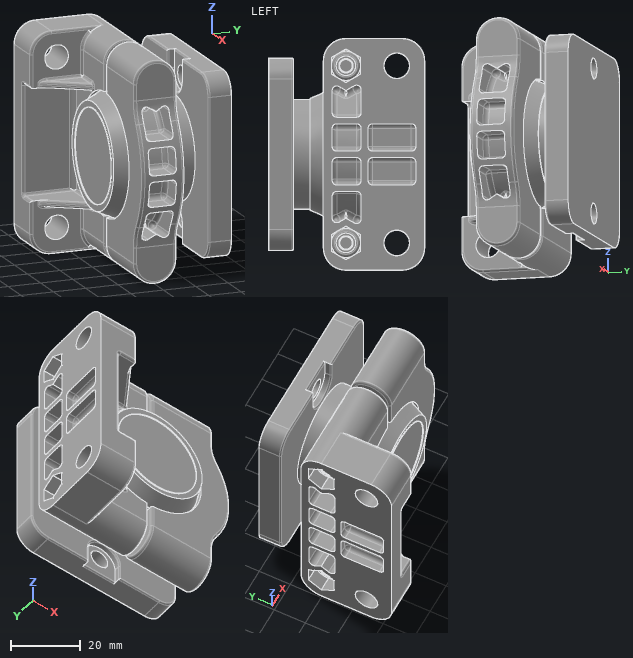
import cadquery as cq
import math


TOLERANCE = 0.005
OVERLAP = 0.65

CLAMP_HEIGHT = 66.55
CLAMP_THICKNESS = 13.05
HALF_THICKNESS = CLAMP_THICKNESS / 2
BORE_RADIUS = 18.65
EDGE_ROUND = 0.7
WALL = 2.0

MOUNT_FACE_X = -30.0
MOUNT_END_X = -0.8
MOUNT_END_ROUND = 0.3
FOOT_WIDTH = 12.85
FOOT_EDGE_X = MOUNT_FACE_X + FOOT_WIDTH
FOOT_FRONT_Y = -22.6
MOUNT_HOLE_Y = -14.6
MOUNT_HOLE_DIAMETER = 7.25

RELIEF_HALF_HEIGHT = 16.8
RELIEF_DEPTH = 6.25
RELIEF_WALL_X = FOOT_EDGE_X - RELIEF_DEPTH
RELIEF_COVE = 1.5
GUSSET_LENGTH = 8.7
GUSSET_TIP_Y = -20.15
COVE_SWEEP = 50

CAP_START_X = 0.7
CAP_END_X = 22.7
LOBE_RADIUS = 29.0
LOBE_BLEND_RADIUS = 12.3

BOLT_Z = 25.4
SLEEVE_RADIUS = 3.8
NUT_ACROSS_FLATS = 8.3
NUT_CORNER_RADIUS = NUT_ACROSS_FLATS / math.sqrt(3)
NUT_FLAT_ANGLE = 30
NUT_DEPTH = 4.7
NUT_DOME_HEIGHT = 0.9
NUT_COLLAR_RADIUS = 3.25
NUT_INSERT_RADIUS = 2.8
NUT_INSERT_DEPTH = 0.2
BOLT_END_RADIUS = 2.05
BOLT_END_HEIGHT = 0.3
BOLT_END_CHAMFER = 0.25

POCKET_CORNER = 1.3
POCKET_Y = -0.2
POCKET_WIDTH = 8.3
POCKET_HEIGHT = 7.85
MIDDLE_WEB = 1.85
POCKET_FLOOR_WALL = 3.0
POCKET_FLOOR_RADIUS = BORE_RADIUS + POCKET_FLOOR_WALL
FOOT_POCKET_LENGTH = 13.7
FOOT_POCKET_DEPTH = 3.65

PLATE_WIDTH = 52.2
PLATE_HEIGHT = 55.25
PLATE_FRONT_Y = 15.05
PLATE_THICKNESS = 7.1
PLATE_CORNER = 6.0
PLATE_EDGE_ROUND = 0.45
RIM_RADIUS = 18.45
STEM_RADIUS = 15.8
CONE_RADIUS = 16.1
CONE_FACE_RADIUS = 17.85
CONE_HEIGHT = 3.7
RECESS_RADIUS = 14.1
RECESS_DEPTH = 0.25
NOTCH_HALF_WIDTH = 5.6
NOTCH_DEPTH = 2.1
NOTCH_ARC_Z = 22.1
PLATE_HOLE_Z = 21.15
PLATE_HOLE_DIAMETER = 6.0


def block(x_range, y_range, z_range):
    """Box given by its lower and upper limit along each axis."""
    (x0, x1), (y0, y1), (z0, z1) = x_range, y_range, z_range
    return cq.Workplane("XY").box(x1 - x0, y1 - y0, z1 - z0, centered=False).translate((x0, y0, z0))


def cylinder_y(radius, y_start, y_end):
    """Cylinder about the swivel axis."""
    return cq.Workplane("XZ", origin=(0, y_start, 0)).circle(radius).extrude(y_start - y_end)


def bar(x_start, x_end):
    """Bar along X with semicircular top and bottom."""
    return (
        cq.Workplane("YZ", origin=(x_start, 0, 0))
        .slot2D(CLAMP_HEIGHT, CLAMP_THICKNESS, 90)
        .extrude(x_end - x_start)
    )


def cove(x, radius, z_start, z_end):
    """Concave round in the corner between a wall at the given X and the front face of the bar."""
    return cove_outline(x, radius, z_start).extrude(z_end - z_start)


def cove_outline(x, radius, z):
    """Region between two perpendicular walls and the arc tangent to both."""
    face_y = -HALF_THICKNESS
    mid = radius * (1 - math.sqrt(0.5))
    return (
        cq.Workplane("XY", origin=(0, 0, z))
        .moveTo(x, face_y)
        .lineTo(x + radius, face_y)
        .threePointArc((x + mid, face_y - mid), (x, face_y - radius))
        .close()
    )


def is_convex_foot_edge(edge):
    """Front rim of the relief, and the foot's outline on its +X side up to the bar."""
    centre = edge.Center()
    on_relief_rim = abs(centre.y - FOOT_FRONT_Y) < TOLERANCE and centre.x > RELIEF_WALL_X - TOLERANCE
    on_outline = abs(centre.x - FOOT_EDGE_X) < TOLERANCE and abs(centre.z) > RELIEF_HALF_HEIGHT + TOLERANCE
    return (on_relief_rim and abs(centre.z) <= RELIEF_HALF_HEIGHT + TOLERANCE) or on_outline


def foot():
    """Screw-down foot with the relief that clears the swivel."""
    half = CLAMP_HEIGHT / 2
    solid = block((MOUNT_FACE_X, FOOT_EDGE_X), (FOOT_FRONT_Y, HALF_THICKNESS), (-half, half))
    solid = solid.edges("|X").fillet(HALF_THICKNESS)
    relief = block(
        (RELIEF_WALL_X, FOOT_EDGE_X + OVERLAP),
        (FOOT_FRONT_Y, -HALF_THICKNESS),
        (-RELIEF_HALF_HEIGHT, RELIEF_HALF_HEIGHT),
    )
    relief = relief.edges("|Y and <X").fillet(EDGE_ROUND)
    solid = solid.cut(relief)
    rounded_edges = [edge for edge in solid.edges().vals() if is_convex_foot_edge(edge)]
    return solid.newObject(rounded_edges).fillet(EDGE_ROUND)


def gusset(side):
    """Triangular web between the foot and the bar, flush with one side of the relief."""
    z_start = RELIEF_HALF_HEIGHT if side > 0 else -RELIEF_HALF_HEIGHT - WALL
    return (
        cq.Workplane("XY", origin=(0, 0, z_start))
        .moveTo(FOOT_EDGE_X - OVERLAP, -HALF_THICKNESS + OVERLAP)
        .lineTo(FOOT_EDGE_X - OVERLAP, GUSSET_TIP_Y)
        .lineTo(FOOT_EDGE_X, GUSSET_TIP_Y)
        .lineTo(FOOT_EDGE_X + GUSSET_LENGTH, -HALF_THICKNESS)
        .lineTo(FOOT_EDGE_X + GUSSET_LENGTH, -HALF_THICKNESS + OVERLAP)
        .close()
        .extrude(WALL)
    )


def is_gusset_slope(edge):
    """Long edges of the gussets' sloping faces."""
    box = edge.BoundingBox()
    return box.xlen > GUSSET_LENGTH / 2 and box.ylen > GUSSET_LENGTH / 2


def is_gusset_root(edge):
    """Edges where the outer faces of the gussets meet the bar and the foot."""
    box = edge.BoundingBox()
    on_outer_face = abs(abs(edge.Center().z) - RELIEF_HALF_HEIGHT - WALL) < TOLERANCE and box.zlen < TOLERANCE
    on_bar = box.ylen < TOLERANCE and abs(box.ymin + HALF_THICKNESS) < TOLERANCE
    on_foot = box.xlen < TOLERANCE and abs(box.xmin - FOOT_EDGE_X) < TOLERANCE
    return on_outer_face and (on_bar or on_foot)


def foot_cove(side):
    """Concave round between the foot and the bar, from a gusset to the bar's rounded edge."""
    z_start = RELIEF_HALF_HEIGHT + WALL
    z_end = CLAMP_HEIGHT / 2 - HALF_THICKNESS
    straight = cove(FOOT_EDGE_X, EDGE_ROUND, z_start, z_end)
    curved = cove_outline(FOOT_EDGE_X, EDGE_ROUND, z_end).revolve(COVE_SWEEP, (0, 0), (-1, 0))
    upper = straight.union(curved)
    return upper if side > 0 else upper.mirror("XY")


def bore():
    """Round hole through both clamp halves, centred on the swivel axis."""
    return cylinder_y(BORE_RADIUS, -HALF_THICKNESS - OVERLAP, HALF_THICKNESS + OVERLAP)


def mounting_half():
    """Foot and bar with the gussets, screw holes and half of the bore."""
    arm = bar(MOUNT_FACE_X, MOUNT_END_X).faces(">X").edges().fillet(MOUNT_END_ROUND)
    solid = foot().union(arm)
    for side in (1, -1):
        solid = solid.union(gusset(side))
    for is_edge in (is_gusset_slope, is_gusset_root):
        picked = [edge for edge in solid.edges().vals() if is_edge(edge)]
        solid = solid.newObject(picked).fillet(EDGE_ROUND)
    for side in (1, -1):
        solid = solid.union(foot_cove(side))
    solid = solid.union(cove(RELIEF_WALL_X, RELIEF_COVE, -RELIEF_HALF_HEIGHT, RELIEF_HALF_HEIGHT))
    mount_holes = (
        cq.Workplane("YZ", origin=(MOUNT_FACE_X, 0, 0))
        .pushPoints([(MOUNT_HOLE_Y, BOLT_Z), (MOUNT_HOLE_Y, -BOLT_Z)])
        .circle(MOUNT_HOLE_DIAMETER / 2)
        .extrude(FOOT_WIDTH + OVERLAP)
    )
    return solid.cut(bore()).cut(mount_holes)


def is_cap_end_edge(edge):
    """Rim of the cap's end face, leaving out the lines across its thickness."""
    box = edge.BoundingBox()
    return box.xmin > CAP_END_X - TOLERANCE and box.zlen > TOLERANCE


def cap_half():
    """Far half of the clamp: a bar whose end bulges out around the bore."""
    centre_x = CAP_END_X + LOBE_BLEND_RADIUS
    reach = LOBE_RADIUS + LOBE_BLEND_RADIUS
    blend_z = math.sqrt(reach**2 - centre_x**2)
    meet_x = centre_x * LOBE_RADIUS / reach
    meet_z = blend_z * LOBE_RADIUS / reach
    half_sweep = math.atan2(blend_z - meet_z, centre_x - meet_x) / 2
    mid_angle = math.pi + half_sweep
    mid_x = centre_x + LOBE_BLEND_RADIUS * math.cos(mid_angle)
    mid_z = blend_z + LOBE_BLEND_RADIUS * math.sin(mid_angle)
    half = CLAMP_HEIGHT / 2
    outline = (
        cq.Workplane("XZ", origin=(0, HALF_THICKNESS, 0))
        .moveTo(CAP_START_X, -half)
        .lineTo(CAP_END_X, -half)
        .lineTo(CAP_END_X, -blend_z)
        .threePointArc((mid_x, -mid_z), (meet_x, -meet_z))
        .threePointArc((LOBE_RADIUS, 0), (meet_x, meet_z))
        .threePointArc((mid_x, mid_z), (CAP_END_X, blend_z))
        .lineTo(CAP_END_X, half)
        .lineTo(CAP_START_X, half)
        .close()
        .extrude(CLAMP_THICKNESS)
    )
    solid = bar(CAP_START_X, LOBE_RADIUS + OVERLAP).intersect(outline)
    solid = solid.faces("<X").edges().fillet(EDGE_ROUND)
    end_edges = [edge for edge in solid.edges().vals() if is_cap_end_edge(edge)]
    solid = solid.newObject(end_edges).fillet(EDGE_ROUND)
    return solid.cut(bore())


def middle_pocket_prism():
    """Rectangular prism for the upper pocket of the middle pair."""
    return block(
        (MOUNT_FACE_X, 0),
        (POCKET_Y - POCKET_WIDTH / 2, POCKET_Y + POCKET_WIDTH / 2),
        (MIDDLE_WEB / 2, MIDDLE_WEB / 2 + POCKET_HEIGHT),
    )


def bolt_pocket_prism():
    """Prism for the pocket below the upper bolt, notched at the top to keep a wall around the nut."""
    slope = math.tan(math.radians(NUT_FLAT_ANGLE))
    bottom = MIDDLE_WEB / 2 + POCKET_HEIGHT + MIDDLE_WEB
    notch_z = BOLT_Z - NUT_CORNER_RADIUS - WALL / math.cos(math.radians(NUT_FLAT_ANGLE))
    left = POCKET_Y - POCKET_WIDTH / 2
    right = POCKET_Y + POCKET_WIDTH / 2
    return (
        cq.Workplane("YZ", origin=(MOUNT_FACE_X, 0, 0))
        .moveTo(left, bottom)
        .lineTo(right, bottom)
        .lineTo(right, notch_z + right * slope)
        .lineTo(0, notch_z)
        .lineTo(left, notch_z - left * slope)
        .close()
        .extrude(-MOUNT_FACE_X)
    )


def is_pocket_round(edge):
    """All pocket edges except the mouth and the sharp crest of the notch."""
    at_mouth = edge.BoundingBox().xmax < MOUNT_FACE_X + TOLERANCE
    on_crest = abs(edge.Center().y) < TOLERANCE and edge.BoundingBox().ylen < TOLERANCE
    return not at_mouth and not on_crest


def pocket_tool(prism):
    """Pocket whose floor keeps an even wall around the bore, with rounded corners and floor."""
    tool = prism.cut(cylinder_y(POCKET_FLOOR_RADIUS, -CLAMP_THICKNESS, CLAMP_THICKNESS))
    rounds = [edge for edge in tool.edges().vals() if is_pocket_round(edge)]
    return tool.newObject(rounds).fillet(POCKET_CORNER)


def foot_pocket_tool():
    """Shallow pocket in the foot, level with the upper middle pocket."""
    y_top = POCKET_Y - POCKET_WIDTH / 2 - WALL
    tool = block(
        (MOUNT_FACE_X, MOUNT_FACE_X + FOOT_POCKET_DEPTH),
        (y_top - FOOT_POCKET_LENGTH, y_top),
        (MIDDLE_WEB / 2, MIDDLE_WEB / 2 + POCKET_HEIGHT),
    )
    return tool.edges("not(<X)").fillet(POCKET_CORNER)


def bolt_axis(x, sign):
    """Workplane square to the upper (+1) or lower (-1) bolt at the given X."""
    return cq.Workplane("YZ", origin=(x, 0, sign * BOLT_Z))


def nut_recess(sign):
    """Hexagonal hole with corners up and down; its floor carries the nut's domed end."""
    hexagon = bolt_axis(MOUNT_FACE_X, sign).polygon(6, 2 * NUT_CORNER_RADIUS).extrude(NUT_DEPTH)
    hexagon = hexagon.rotate((0, 0, sign * BOLT_Z), (1, 0, sign * BOLT_Z), 90)
    floor_x = MOUNT_FACE_X + NUT_DEPTH
    dome = bolt_axis(floor_x, sign).circle(NUT_COLLAR_RADIUS + NUT_DOME_HEIGHT).extrude(-NUT_DOME_HEIGHT)
    dome = dome.faces("<X").edges().fillet(NUT_DOME_HEIGHT - TOLERANCE)
    insert = bolt_axis(floor_x - NUT_DOME_HEIGHT, sign).circle(NUT_INSERT_RADIUS).extrude(NUT_INSERT_DEPTH)
    dome = dome.cut(insert)
    bolt_end = bolt_axis(floor_x, sign).circle(BOLT_END_RADIUS).extrude(-NUT_DOME_HEIGHT - BOLT_END_HEIGHT)
    bolt_end = bolt_end.faces("<X").chamfer(BOLT_END_CHAMFER)
    return hexagon.cut(dome).cut(bolt_end)


def clamp():
    """Both clamp halves, joined through the bolt sleeves."""
    mounting = mounting_half()
    cap = cap_half()
    for prism in (middle_pocket_prism(), bolt_pocket_prism()):
        upper = pocket_tool(prism)
        for tool in (upper, upper.mirror("XY")):
            mounting = mounting.cut(tool)
            cap = cap.cut(tool.mirror("YZ"))
    foot_pocket = foot_pocket_tool()
    mounting = mounting.cut(foot_pocket).cut(foot_pocket.mirror("XY"))
    solid = mounting.union(cap)
    sleeve_length = CAP_START_X - MOUNT_END_X + 2 * OVERLAP
    for sign in (1, -1):
        sleeve = bolt_axis(MOUNT_END_X - OVERLAP, sign).circle(SLEEVE_RADIUS).extrude(sleeve_length)
        solid = solid.cut(nut_recess(sign)).union(sleeve)
    return solid


def plate():
    """Plate with rounded corners, and a notched hole at the top and bottom."""
    solid = (
        cq.Workplane("XZ", origin=(0, PLATE_FRONT_Y + PLATE_THICKNESS, 0))
        .rect(PLATE_WIDTH, PLATE_HEIGHT)
        .extrude(PLATE_THICKNESS)
        .edges("|Y")
        .fillet(PLATE_CORNER)
    )
    for sign in (1, -1):
        solid = solid.cut(plate_notch(sign))
    lip_y = PLATE_FRONT_Y + NOTCH_DEPTH
    lips = [edge for edge in solid.edges("|X").vals() if abs(edge.Center().y - lip_y) < TOLERANCE]
    front_edges = solid.faces("<Y").edges().vals()
    solid = solid.newObject(front_edges + lips).fillet(PLATE_EDGE_ROUND)
    holes = (
        cq.Workplane("XZ", origin=(0, PLATE_FRONT_Y - OVERLAP, 0))
        .pushPoints([(0, PLATE_HOLE_Z), (0, -PLATE_HOLE_Z)])
        .circle(PLATE_HOLE_DIAMETER / 2)
        .extrude(-PLATE_THICKNESS - 2 * OVERLAP)
    )
    return solid.cut(holes)


def plate_notch(sign):
    """Notch open at the plate's edge, with its inner end rounded below the hole."""
    edge_z = PLATE_HEIGHT / 2 + OVERLAP
    tool = (
        cq.Workplane("XZ", origin=(0, PLATE_FRONT_Y + NOTCH_DEPTH, 0))
        .moveTo(-NOTCH_HALF_WIDTH, edge_z)
        .lineTo(-NOTCH_HALF_WIDTH, NOTCH_ARC_Z)
        .threePointArc((0, NOTCH_ARC_Z - NOTCH_HALF_WIDTH), (NOTCH_HALF_WIDTH, NOTCH_ARC_Z))
        .lineTo(NOTCH_HALF_WIDTH, edge_z)
        .close()
        .extrude(NOTCH_DEPTH)
    )
    return tool if sign > 0 else tool.mirror("XY")


def swivel():
    """Plate, stem and the double cone that turns in the bore with a small clearance."""
    cone_end = HALF_THICKNESS + CONE_HEIGHT
    rim_y = HALF_THICKNESS - CONE_HEIGHT * (RIM_RADIUS - CONE_FACE_RADIUS) / (CONE_FACE_RADIUS - CONE_RADIUS)
    core = (
        cq.Workplane("XY")
        .moveTo(0, -cone_end)
        .lineTo(CONE_RADIUS, -cone_end)
        .lineTo(RIM_RADIUS, -rim_y)
        .lineTo(RIM_RADIUS, rim_y)
        .lineTo(CONE_RADIUS, cone_end)
        .lineTo(STEM_RADIUS, cone_end)
        .lineTo(STEM_RADIUS, PLATE_FRONT_Y + PLATE_THICKNESS / 2)
        .lineTo(0, PLATE_FRONT_Y + PLATE_THICKNESS / 2)
        .close()
        .revolve(360, (0, 0), (0, 1))
    )
    recess = cylinder_y(RECESS_RADIUS, -cone_end, -cone_end + RECESS_DEPTH)
    return core.cut(recess).union(plate())


result = cq.Compound.makeCompound([clamp().val(), swivel().val()])